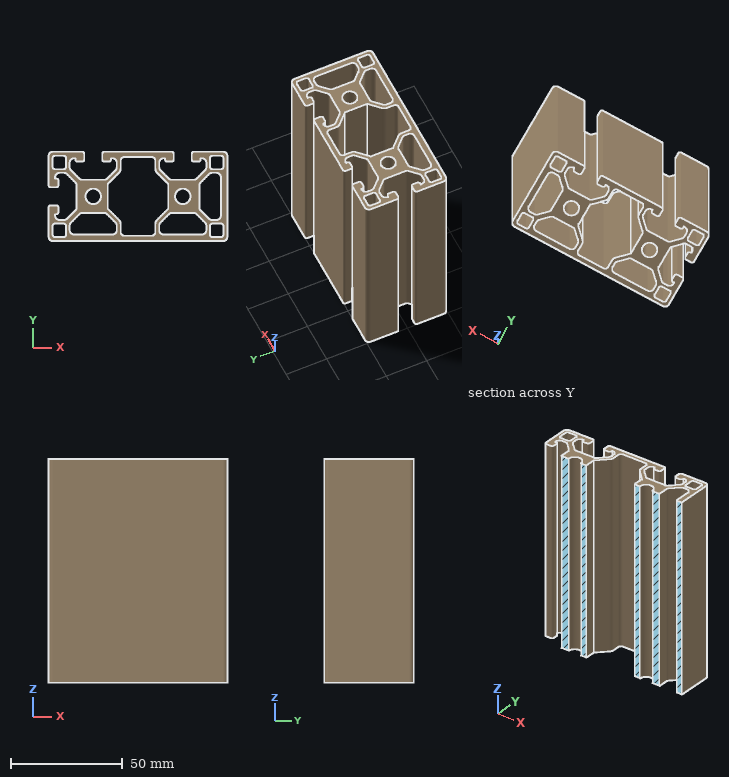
import cadquery as cq

cell = 40.0
cell_count = 2
width = cell * cell_count
height = 100.0
outer_radius = 2.0
bore_diameter = 6.8

pocket_roof = 3.0
pocket_floor = 12.5
pocket_half_width = 10.5
floor_half_width = 5.7
pocket_radius = 2.0
pocket_floor_radius = 1.5
pocket_shoulder = pocket_floor - (pocket_half_width - floor_half_width)

slot_half_width = 4.0
lip_depth = 4.5
lip_width = 4.0
lip_radius = 1.0

tube_wall = 1.9
tube_side = 5.9
tube_radius = 1.0

chamber_wall = 2.5
chamber_half_width = 7.7
chamber_core_half_width = 13.5
chamber_core_half_height = 5.5
chamber_radius = 1.5
chamber_shoulder_radius = 2.5

cell_centers = [-cell / 2, cell / 2]


def place(shape, center_x, angle):
    """Turn a shape made behind a cell's +Y face to another face, and move it to its cell."""
    return shape.rotate((0, 0, 0), (0, 0, 1), angle).translate((center_x, 0, 0))


def make_pocket():
    """Trapezoid pocket behind the +Y face of a cell, with its four outer corners rounded."""
    roof_y = cell / 2 - pocket_roof
    shoulder_y = cell / 2 - pocket_shoulder
    floor_y = cell / 2 - pocket_floor
    pocket = (
        cq.Workplane("XY")
        .moveTo(-pocket_half_width, roof_y)
        .lineTo(pocket_half_width, roof_y)
        .lineTo(pocket_half_width, shoulder_y)
        .lineTo(floor_half_width, floor_y)
        .lineTo(-floor_half_width, floor_y)
        .lineTo(-pocket_half_width, shoulder_y)
        .close()
        .extrude(height)
    )
    pocket = pocket.edges("|Z").edges("<X or >X").fillet(pocket_radius)
    return pocket.edges("|Z").edges("<Y").fillet(pocket_floor_radius)


def make_slot_opening():
    """Gap through the +Y face into the pocket, reaching to the middle of each lip."""
    half_width = slot_half_width + lip_width / 2
    return (
        cq.Workplane("XY")
        .center(0, cell / 2 - lip_depth / 2)
        .rect(2 * half_width, lip_depth)
        .extrude(height)
    )


def make_lips():
    """Pair of rounded bars that narrow the gap and hook down into the pocket."""
    lip_x = slot_half_width + lip_width / 2
    lip_y = cell / 2 - lip_depth / 2
    return (
        cq.Workplane("XY")
        .pushPoints([(-lip_x, lip_y), (lip_x, lip_y)])
        .rect(lip_width, lip_depth)
        .extrude(height)
        .edges("|Z")
        .fillet(lip_radius)
    )


def make_corner_tubes():
    """Square hollows, one in each outer corner."""
    inset = tube_wall + tube_side / 2
    return (
        cq.Workplane("XY")
        .rect(width - 2 * inset, cell - 2 * inset, forConstruction=True)
        .vertices()
        .rect(tube_side, tube_side)
        .extrude(height)
        .edges("|Z")
        .fillet(tube_radius)
    )


def make_chamber():
    """Middle chamber: a tall hollow that widens at 45 degrees towards the two cores."""
    top_y = cell / 2 - chamber_wall
    flank_y = chamber_core_half_height + chamber_core_half_width - chamber_half_width
    upright = (
        cq.Workplane("XY")
        .rect(2 * chamber_half_width, 2 * top_y)
        .extrude(height)
        .edges("|Z")
        .fillet(chamber_radius)
    )
    bulge = (
        cq.Workplane("XY")
        .rect(2 * chamber_core_half_width, 2 * flank_y)
        .extrude(height)
        .edges("|Z")
        .chamfer(flank_y - chamber_core_half_height)
    )
    reach_x = (chamber_half_width + chamber_core_half_width) / 2
    reach_y = (flank_y + top_y - chamber_radius) / 2
    shoulder_edges = cq.selectors.BoxSelector((-reach_x, -reach_y, 0), (reach_x, reach_y, height))
    return upright.union(bulge).edges("|Z").edges(shoulder_edges).fillet(chamber_shoulder_radius)


profile = (
    cq.Workplane("XY")
    .rect(width, cell)
    .extrude(height)
    .edges("|Z")
    .fillet(outer_radius)
)
profile = profile.cut(make_corner_tubes()).cut(make_chamber())

left_cell, right_cell = cell_centers
open_faces = [(left_cell, 0), (right_cell, 0), (left_cell, 90)]
closed_faces = [(left_cell, 180), (right_cell, 180), (right_cell, -90)]

for center_x, angle in open_faces + closed_faces:
    profile = profile.cut(place(make_pocket(), center_x, angle))

for center_x, angle in open_faces:
    profile = profile.cut(place(make_slot_opening(), center_x, angle))
    profile = profile.union(place(make_lips(), center_x, angle))

bores = (
    cq.Workplane("XY")
    .pushPoints([(center_x, 0) for center_x in cell_centers])
    .circle(bore_diameter / 2)
    .extrude(height)
)

result = profile.cut(bores)